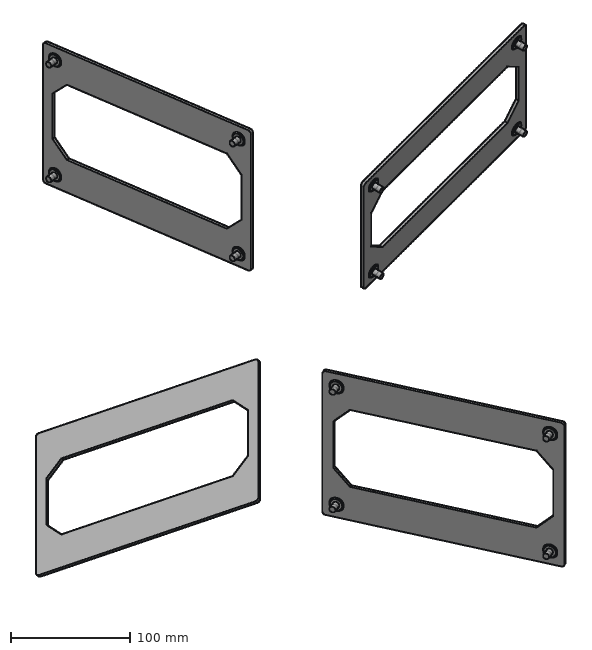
import cadquery as cq

plate_width = 219.5
plate_height = 142.0
plate_thickness = 3.0
corner_radius = 3.0

window_width = 199.0
window_height = 76.0
window_corner_cut = 15.1

total_depth = 12.0
stud_edge_distance = 13.0
collar_base_diameter = 13.2
collar_top_diameter = 11
collar_height = 0.9
shank_diameter = 6.0
shank_length = 4.8
tip_diameter = 5.5

stud_length = total_depth - plate_thickness
stud_spacing_x = plate_width - 2 * stud_edge_distance
stud_spacing_z = plate_height - 2 * stud_edge_distance


def make_plate():
    """Rounded plate with the window cut through it."""
    plate = (
        cq.Workplane("XZ")
        .rect(plate_width, plate_height)
        .extrude(plate_thickness)
        .edges("|Y")
        .fillet(corner_radius)
    )
    window = (
        cq.Workplane("XZ")
        .rect(window_width, window_height)
        .extrude(plate_thickness)
        .edges("|Y")
        .chamfer(window_corner_cut)
    )
    return plate.cut(window)


def make_stud():
    """Stud on the Y axis: tapered collar, straight shank and slightly tapered tip."""
    profile = [
        (0, 0),
        (collar_base_diameter / 2, 0),
        (collar_top_diameter / 2, collar_height),
        (shank_diameter / 2, collar_height),
        (shank_diameter / 2, shank_length),
        (tip_diameter / 2, stud_length),
        (0, stud_length),
    ]
    return (
        cq.Workplane("XY", origin=(0, -plate_thickness, 0))
        .polyline([(radius, -height) for radius, height in profile])
        .close()
        .revolve(360, (0, 0), (0, 1))
    )


result = make_plate()
stud = make_stud()
for side_x in (-1, 1):
    for side_z in (-1, 1):
        position = (side_x * stud_spacing_x / 2, 0, side_z * stud_spacing_z / 2)
        result = result.union(stud.translate(position))